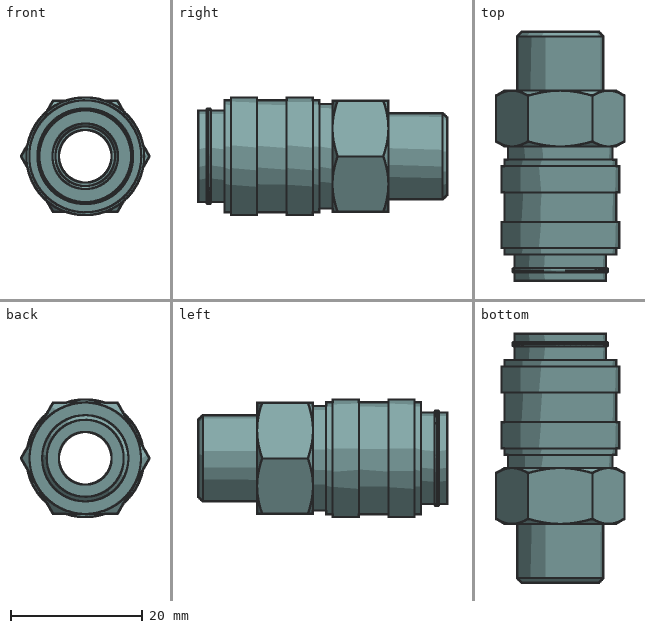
import cadquery as cq
import math

total_length = 38.0

nose_length = 4.0
rim_length = 1.0
band_length = 4.0
waist_length = 4.5
neck_length = 2.0
hex_length = 8.5

nose_diameter = 14.0
sleeve_diameter = 17.1
band_diameter = 18.0
neck_diameter = 16.0
thread_diameter = 13.157
thread_chamfer = 0.7

ring_diameter = 14.6
ring_section_diameter = 0.75
ring_distance = 1.6

hex_across_flats = 17.0
hex_bevel_angle = 30.0

bore_diameter = 8.0
socket_diameter = 9.1
socket_mouth_diameter = 10.0
socket_depth = 18.0

nose_face = -total_length / 2
sleeve_start = nose_face + nose_length
front_band_start = sleeve_start + rim_length
waist_start = front_band_start + band_length
rear_band_start = waist_start + waist_length
rear_rim_start = rear_band_start + band_length
neck_start = rear_rim_start + rim_length
hex_start = neck_start + neck_length
thread_start = hex_start + hex_length
thread_end = total_length / 2


def cylinder(diameter, start, end):
    """Cylinder on the Y axis between two positions."""
    plane = cq.Workplane("XZ", origin=(0, start, 0))
    return plane.circle(diameter / 2).extrude(start - end)


def revolve_outline(points):
    """Turn a closed outline of (radius, position) points about the Y axis."""
    return cq.Workplane("XY").polyline(points).close().revolve(360, (0, 0, 0), (0, 1, 0))


def make_body():
    """Stepped cylinders of the nose, sleeve, neck and threaded end."""
    body = cylinder(nose_diameter, nose_face, sleeve_start)
    body = body.union(cylinder(sleeve_diameter, sleeve_start, neck_start))
    for band_start in (front_band_start, rear_band_start):
        body = body.union(cylinder(band_diameter, band_start, band_start + band_length))
    body = body.union(cylinder(neck_diameter, neck_start, hex_start))
    thread = cylinder(thread_diameter, thread_start, thread_end)
    return body.union(thread.faces(">Y").chamfer(thread_chamfer))


def make_hexagon():
    """Hexagon with corners on the X axis, trimmed by a cone at each end."""
    corner_radius = hex_across_flats / math.sqrt(3)
    flat_radius = hex_across_flats / 2
    bevel_length = (corner_radius - flat_radius) * math.tan(math.radians(hex_bevel_angle))
    plane = cq.Workplane("XZ", origin=(0, hex_start, 0))
    prism = plane.polygon(6, 2 * corner_radius).extrude(-hex_length)
    envelope = revolve_outline([
        (0, hex_start),
        (flat_radius, hex_start),
        (corner_radius, hex_start + bevel_length),
        (corner_radius, thread_start - bevel_length),
        (flat_radius, thread_start),
        (0, thread_start),
    ])
    return prism.intersect(envelope)


def make_retaining_ring():
    """Round-section ring seated in the nose."""
    section_radius = ring_section_diameter / 2
    path_radius = ring_diameter / 2 - section_radius
    ring_centre = cq.Vector(0, nose_face + ring_distance, 0)
    torus = cq.Solid.makeTorus(path_radius, section_radius, ring_centre, cq.Vector(0, 1, 0))
    return cq.Workplane(torus)


def make_bore():
    """Through bore with a wider, countersunk socket at the plug face."""
    mouth_bevel = (socket_mouth_diameter - socket_diameter) / 2
    return revolve_outline([
        (0, nose_face),
        (socket_mouth_diameter / 2, nose_face),
        (socket_diameter / 2, nose_face + mouth_bevel),
        (socket_diameter / 2, nose_face + socket_depth),
        (bore_diameter / 2, nose_face + socket_depth),
        (bore_diameter / 2, thread_end),
        (0, thread_end),
    ])


result = make_body().union(make_hexagon()).union(make_retaining_ring()).cut(make_bore())